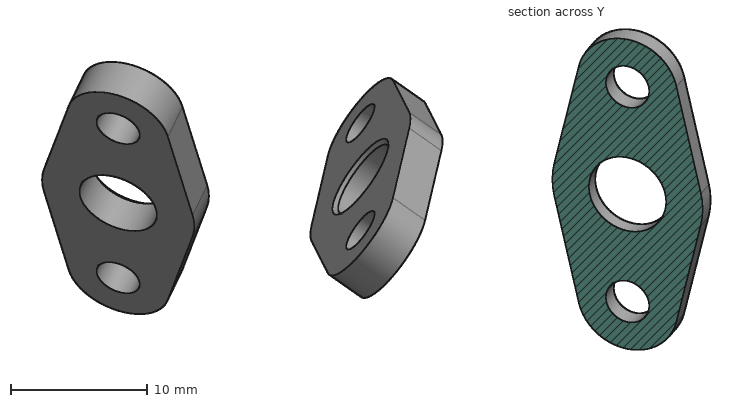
import cadquery as cq
import math

thickness = 3.0
hub_radius = 6.0
end_radius = 4.0
bolt_offset = 9.0
bore_diameter = 6.1
bolt_hole_diameter = 3.4
bore_chamfer = 0.3

flank_angle = math.asin((hub_radius - end_radius) / bolt_offset)


def tangent_point(radius, centre_z):
    """Point where the upper right flank touches an arc centred on the Z axis."""
    return radius * math.cos(flank_angle), centre_z + radius * math.sin(flank_angle)


def make_plate():
    """Diamond-shaped flange plate, centred on the XZ plane."""
    hub_x, hub_z = tangent_point(hub_radius, 0)
    end_x, end_z = tangent_point(end_radius, bolt_offset)
    end_tip_z = bolt_offset + end_radius
    return (
        cq.Workplane("XZ", origin=(0, thickness / 2, 0))
        .moveTo(hub_x, hub_z)
        .lineTo(end_x, end_z)
        .threePointArc((0, end_tip_z), (-end_x, end_z))
        .lineTo(-hub_x, hub_z)
        .threePointArc((-hub_radius, 0), (-hub_x, -hub_z))
        .lineTo(-end_x, -end_z)
        .threePointArc((0, -end_tip_z), (end_x, -end_z))
        .lineTo(hub_x, -hub_z)
        .threePointArc((hub_radius, 0), (hub_x, hub_z))
        .close()
        .extrude(thickness)
    )


def make_hole(diameter, centre_z):
    """Cylinder that cuts a hole through the full plate thickness."""
    return (
        cq.Workplane("XZ", origin=(0, thickness / 2, centre_z))
        .circle(diameter / 2)
        .extrude(thickness)
    )


def make_bore_chamfer():
    """Cone that breaks the edge of the bore at 45 degrees on the +Y face."""
    bore_radius = bore_diameter / 2
    cone = cq.Solid.makeCone(
        bore_radius + bore_chamfer,
        bore_radius,
        bore_chamfer,
        pnt=cq.Vector(0, thickness / 2, 0),
        dir=cq.Vector(0, -1, 0),
    )
    return cq.Workplane(cone)


result = make_plate()
result = result.cut(make_hole(bore_diameter, 0))
result = result.cut(make_bore_chamfer())
for side in (-1, 1):
    result = result.cut(make_hole(bolt_hole_diameter, side * bolt_offset))